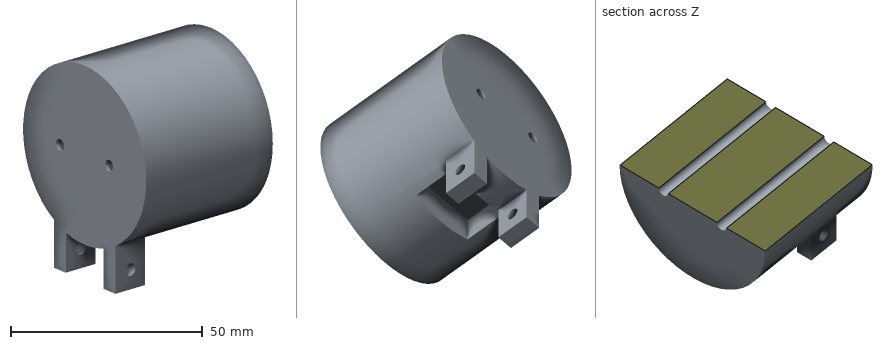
import cadquery as cq

body_diameter = 50.0
body_radius = body_diameter / 2
body_length = 43.0
total_height = 60.0

axial_hole_diameter = 3.2
axial_hole_spacing = 20.0

leg_thickness = 4.85
leg_depth = 10.0
leg_outer_span = 25.0
leg_bottom = body_radius - total_height
leg_hole_height = 5.5
leg_hole_diameter = 3.4

pocket_width = 20.0
pocket_rear = 23.0
pocket_front = leg_depth
pocket_depth = 10.0


def box_between(x_min, x_max, y_min, y_max, z_min, z_max):
    """Axis-aligned box given by its limits."""
    return cq.Workplane("XY").box(
        x_max - x_min, y_max - y_min, z_max - z_min, centered=False
    ).translate((x_min, y_min, z_min))


body = cq.Workplane("XZ").circle(body_radius).extrude(-body_length)

pocket = box_between(
    -pocket_width / 2, pocket_width / 2,
    pocket_front, pocket_rear,
    -body_radius, pocket_depth - body_radius,
)
body = body.cut(pocket)

leg_top = -body_radius / 2
leg_outer = leg_outer_span / 2
leg_inner = leg_outer - leg_thickness
for x_min in (-leg_outer, leg_inner):
    leg = box_between(x_min, x_min + leg_thickness, 0, leg_depth, leg_bottom, leg_top)
    body = body.union(leg)

cross_hole = (
    cq.Workplane("YZ", origin=(-leg_outer, 0, 0))
    .center(leg_depth / 2, leg_bottom + leg_hole_height)
    .circle(leg_hole_diameter / 2)
    .extrude(leg_outer_span)
)
body = body.cut(cross_hole)

axial_holes = (
    cq.Workplane("XZ")
    .pushPoints([(-axial_hole_spacing / 2, 0), (axial_hole_spacing / 2, 0)])
    .circle(axial_hole_diameter / 2)
    .extrude(-body_length)
)
result = body.cut(axial_holes)